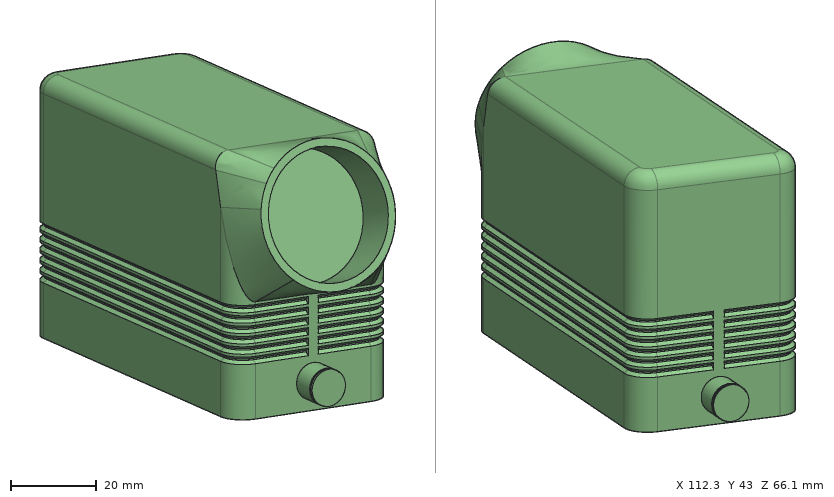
import cadquery as cq
import math

total_length = 112.3
body_length = 93.5
body_width = 43.0
body_height = 63.0
corner_radius = 6.0
top_radius = 4.0

tilt = 15.0
collar_length = 12.0
collar_diameter = 35.9
bore_diameter = 32.0
tilt_sine = math.sin(math.radians(tilt))
tilt_cosine = math.cos(math.radians(tilt))

groove_count = 6
groove_width = 1.8
groove_floor = 0.3
groove_depth = 1.0
lowest_groove_z = 14.3
highest_groove_z = 26.7
groove_pitch = (highest_groove_z - lowest_groove_z) / (groove_count - 1)
groove_gap = 2.7

pin_diameter = 9.0
pin_z = 7.1
pin_tip_length = 0.8
pin_groove_width = 0.3
pin_groove_depth = 0.1
pin_length = total_length - body_length - collar_length * tilt_cosine

end_x = body_length / 2
entry_center = (
    end_x - collar_diameter / 2 * tilt_sine,
    0,
    body_height - collar_diameter / 2 * tilt_cosine,
)
entry_plane = cq.Plane(
    origin=entry_center,
    xDir=(0, 1, 0),
    normal=(tilt_cosine, 0, tilt_sine),
)


def hood_block():
    """Plain block with rounded upright corners, standing on Z = 0."""
    block = cq.Workplane("XY").box(body_length, body_width, body_height, centered=(True, True, False))
    return block.edges("|Z").fillet(corner_radius)


def hood_body():
    """Block with a rounded top, cut off along the tilted entry plane."""
    block = hood_block().faces(">Z").edges().fillet(top_radius)
    cutter = cq.Workplane(entry_plane).rect(2 * body_width, 2 * collar_diameter).extrude(total_length)
    return block.cut(cutter)


def collar(body):
    """Ruled transition from the oblique body section to a round mouth."""
    section = body.faces(cq.selectors.NearestToPointSelector(entry_center)).wires().val()
    mouth = (
        cq.Workplane(entry_plane)
        .workplane(offset=collar_length)
        .circle(collar_diameter / 2)
        .wires()
        .val()
    )
    return cq.Workplane(cq.Solid.makeLoft([section, mouth], True))


def cable_bore():
    """Blind round bore, as deep as the collar is long."""
    return cq.Workplane(entry_plane).circle(bore_diameter / 2).extrude(collar_length)


def groove_ring(center_z):
    """Tapered ring around the body, left out at the middle of both ends."""
    outer_y = body_width / 2
    profile = (
        cq.Workplane("YZ")
        .polyline(
            [
                (-outer_y, center_z + groove_width / 2),
                (-outer_y + groove_depth, center_z + groove_floor / 2),
                (-outer_y + groove_depth, center_z - groove_floor / 2),
                (-outer_y, center_z - groove_width / 2),
            ]
        )
        .close()
    )
    path = hood_block().faces("<Z").wires().val().translate(cq.Vector(0, 0, center_z))
    ring = profile.sweep(cq.Workplane(path))
    bridge = cq.Workplane("XY", origin=(0, 0, center_z)).box(total_length, groove_gap, 2 * groove_width)
    return ring.cut(bridge)


def pin(side):
    """Round locking pin with a hairline groove near its tip; side is -1 or 1 along X."""
    tip_x = end_x + pin_length
    groove_x = tip_x - pin_tip_length
    axis = cq.Workplane("YZ", origin=(0, 0, pin_z))
    shaft = axis.circle(pin_diameter / 2).extrude(side * tip_x)
    groove = (
        axis.workplane(offset=side * groove_x)
        .circle(pin_diameter / 2)
        .circle(pin_diameter / 2 - pin_groove_depth)
        .extrude(-side * pin_groove_width)
    )
    return shaft.cut(groove)


body = hood_body()
result = body.union(collar(body)).cut(cable_bore())
for index in range(groove_count):
    result = result.cut(groove_ring(lowest_groove_z + index * groove_pitch))
for side in (-1, 1):
    result = result.union(pin(side))